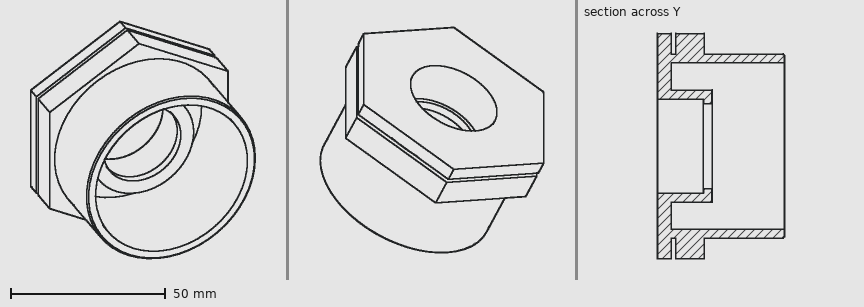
import cadquery as cq

hex_corners = 72.75
collar_thickness = 4.5
groove_width = 1.4
nut_thickness = 9.25

body_diameter = 59.6
total_length = 41.0
end_chamfer = 0.5

socket_diameter = 30.3
socket_depth = 14.85
lip_diameter = 27.3
lip_length = 2.85

cavity_diameter = 53.6
tube_diameter = 36.4
tube_end = socket_depth + lip_length

nut_start = collar_thickness + groove_width


def cylinder(diameter, start, end):
    """Cylinder along X between two stations."""
    return cq.Workplane("YZ", origin=(start, 0, 0)).circle(diameter / 2).extrude(end - start)


def hexagon(start, thickness):
    """Hexagonal plate along X, turned so two corners point along Z."""
    plate = cq.Workplane("YZ", origin=(start, 0, 0)).polygon(6, hex_corners).extrude(thickness)
    return plate.rotate((0, 0, 0), (1, 0, 0), 90)


body = cylinder(body_diameter, 0, total_length).faces(">X").chamfer(end_chamfer)
head = hexagon(0, collar_thickness).union(hexagon(nut_start, nut_thickness))
socket = cylinder(socket_diameter, 0, socket_depth)
through_bore = cylinder(lip_diameter, 0, total_length)
cavity = cylinder(cavity_diameter, collar_thickness, total_length)
tube = cylinder(tube_diameter, 0, tube_end)

result = body.union(head).cut(cavity).union(tube).cut(socket).cut(through_bore)